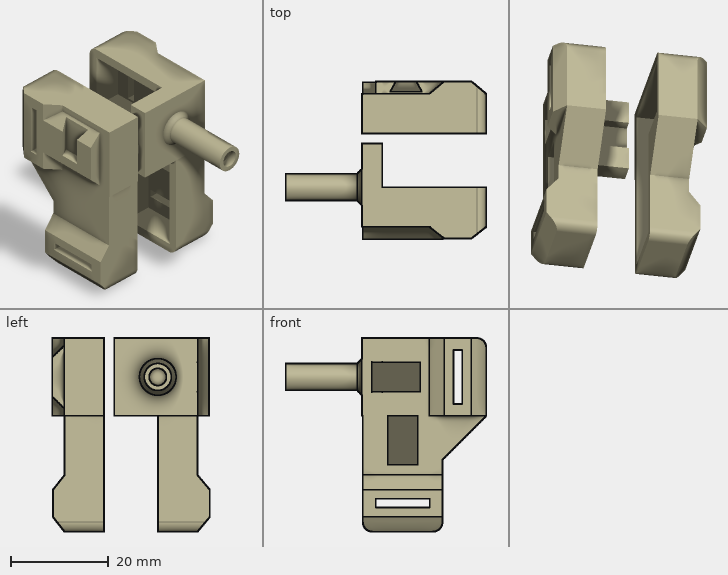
import cadquery as cq


wing_length = 25.5
wing_height = 16.0
wing_top = wing_height / 2
wing_bottom = -wing_top
leg_left = 0.15
leg_right = 16.55
leg_middle = (leg_left + leg_right) / 2
total_height = 39.75
leg_bottom = wing_top - total_height
gusset_bottom = wing_bottom - (wing_length - leg_right)
corner_radius = 2.0

shell_depth = 8.15
wall = 2.0
shell_gap = 11.0
bevel_width = 3.05

pad_low = 2.4
pad_high = 2.55
wing_pad_start = 13.85
foot_pad_start = wing_top - 28.1

slot_length = 11.05
slot_width = 1.73
wing_slot_x = 19.67
foot_slot_z = wing_top - 33.87

window_length = 9.95
window_width = 6.1
upper_window_left = 1.98

post_width = 4.2
post_height = 8.97
stem_length = 15.65
stem_diameter = 5.55
bore_diameter = 3.55
bore_depth = 2.0
stem_flare = 1.0

rail_start = 2.9
rail_base = 13.0
rail_crest = 8.0
dovetail_x = 9.05
dovetail_mouth = 4.2
dovetail_floor = 6.5
dovetail_depth = 2.1
dovetail_stop = wall - rail_crest / 2


def box(x_min, x_max, y_min, y_max, z_min, z_max):
    size = (x_max - x_min, y_max - y_min, z_max - z_min)
    return cq.Workplane("XY").box(*size, centered=False).translate((x_min, y_min, z_min))


def rounded_outline(depth):
    """Wing, leg and 45 degree gusset, with the free outer corners rounded."""
    points = [
        (0, wing_top),
        (wing_length, wing_top),
        (wing_length, wing_bottom),
        (leg_right, gusset_bottom),
        (leg_right, leg_bottom),
        (leg_left, leg_bottom),
        (leg_left, wing_bottom),
        (0, wing_bottom),
    ]
    block = cq.Workplane("XZ").polyline(points).close().extrude(-depth)
    return (
        block.edges("|Y and >X and >Z")
        .fillet(corner_radius)
        .faces("<Z")
        .edges("|Y")
        .fillet(corner_radius)
    )


def pad_profile(start, end, height):
    """Trapezoid standing on the outer face, sloped on both sides; starts below the face to join it."""
    return [
        (start, 0),
        (start, shell_depth),
        (start + bevel_width, shell_depth + height),
        (end - bevel_width, shell_depth + height),
        (end, shell_depth),
        (end, 0),
    ]


def wing_pad(height):
    points = pad_profile(wing_pad_start, wing_length, height)
    pad = cq.Workplane("XY").polyline(points).close().extrude(wing_height)
    return pad.translate((0, 0, wing_bottom))


def foot_pad(height):
    length = foot_pad_start - leg_bottom
    points = [(y, foot_pad_start - s) for s, y in pad_profile(0, length, height)]
    pad = cq.Workplane("YZ").polyline(points).close().extrude(leg_right - leg_left)
    return pad.translate((leg_left, 0, 0))


def pocket():
    """L-shaped hollow, open at the rim, leaving an even wall; the gusset stays solid."""
    floor = shell_depth - wall
    wing_pocket = box(wall, wing_length - wall, 0, floor, wing_bottom + wall, wing_top - wall)
    leg_pocket = box(wall, leg_right - wall, 0, floor, leg_bottom + wall, wing_top - wall)
    return wing_pocket.union(leg_pocket)


def opening(x_center, z_center, x_size, z_size):
    depth = shell_depth + pad_high
    return (
        cq.Workplane("XZ").center(x_center, z_center).rect(x_size, z_size).extrude(-depth)
    )


def shell(wing_pad_height, foot_pad_height):
    """One half, rim at Y = 0 and outer face toward +Y."""
    pads = wing_pad(wing_pad_height).union(foot_pad(foot_pad_height))
    pads = pads.intersect(rounded_outline(shell_depth + pad_high))
    body = rounded_outline(shell_depth).union(pads).cut(pocket())
    body = body.cut(opening(wing_slot_x, 0, slot_width, slot_length))
    return body.cut(opening(leg_middle, foot_slot_z, slot_length, slot_width))


def stem():
    """Stem along -X with a 45 degree flare at its root and a blind bore in its tip."""
    radius = stem_diameter / 2
    points = [
        (0, 0),
        (0, radius + stem_flare),
        (-stem_flare, radius),
        (-stem_length, radius),
        (-stem_length, 0),
    ]
    rod = cq.Workplane("XY").polyline(points).close().revolve(360, (0, 0, 0), (1, 0, 0))
    bore = cq.Workplane("YZ").circle(bore_diameter / 2).extrude(bore_depth)
    return rod.cut(bore.translate((-stem_length, 0, 0)))


def post():
    """Upright block at the stem, as high as the wing, standing on the shell floor."""
    return box(0, post_width, wall - shell_depth, post_height, wing_bottom, wing_top)


def upper_window():
    """Runs through the outer wall and the post."""
    return box(
        upper_window_left,
        upper_window_left + window_length,
        -shell_depth,
        post_height,
        -window_width / 2,
        window_width / 2,
    )


def front_shell():
    lower_window_z = wing_bottom - window_length / 2
    lower_window = opening(leg_middle, lower_window_z, window_width, window_length)
    body = shell(pad_low, pad_high).cut(lower_window).mirror("XZ")
    body = body.union(post()).cut(upper_window())
    return body.union(stem())


def rail():
    """Trapezoidal rail along X, running into the wing pad."""
    end = wing_pad_start + bevel_width
    crest_y = shell_depth + pad_high
    points = [
        (shell_depth, -rail_base / 2),
        (crest_y, -rail_crest / 2),
        (crest_y, rail_crest / 2),
        (shell_depth, rail_base / 2),
    ]
    bar = cq.Workplane("YZ").polyline(points).close().extrude(end - rail_start)
    return bar.translate((rail_start, 0, 0))


def dovetail_slot():
    """Slot along Z in the rail, wider at its floor, ending at a stop above the lower slope."""
    mouth_y = shell_depth + pad_high
    floor_y = mouth_y - dovetail_depth
    points = [
        (dovetail_x - dovetail_mouth / 2, mouth_y),
        (dovetail_x + dovetail_mouth / 2, mouth_y),
        (dovetail_x + dovetail_floor / 2, floor_y),
        (dovetail_x - dovetail_floor / 2, floor_y),
    ]
    slot = cq.Workplane("XY").polyline(points).close().extrude(wing_top - dovetail_stop)
    return slot.translate((0, 0, dovetail_stop))


def back_shell():
    body = shell(pad_high, pad_low).union(rail().cut(dovetail_slot()))
    return body.translate((0, shell_gap, 0))


front = front_shell()
back = back_shell()

result = cq.Compound.makeCompound([front.val(), back.val()])